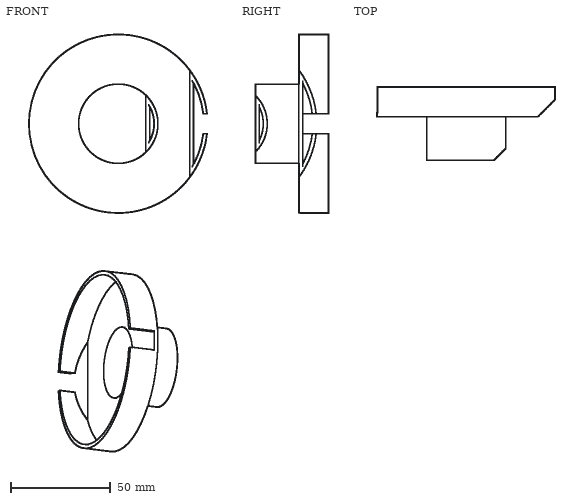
import cadquery as cq

flange_diameter = 90.0
flange_thickness = 15.0
boss_diameter = 40.0
boss_length = 22.0
wall = 2.0
slot_width = 10.0
flange_bevel = 9.0
boss_bevel = 6.0

flange_front = 0.0
flange_back = flange_front + flange_thickness
boss_front = flange_front - boss_length


def cylinder(diameter, y_start, y_end):
    """Solid cylinder on the Y axis between two Y places."""
    profile = cq.Workplane("XZ", origin=(0, y_start, 0)).circle(diameter / 2)
    return profile.extrude(y_start - y_end)


def edge_bevel(diameter, y_front, leg):
    """Wedge that cuts a flat 45 degree bevel across the front +X edge of a cylinder."""
    x_edge = diameter / 2
    corners = [(x_edge - leg, y_front), (x_edge, y_front), (x_edge, y_front + leg)]
    return cq.Workplane("XY").polyline(corners).close().extrude(diameter / 2, both=True)


body = cylinder(flange_diameter, flange_front, flange_back)
body = body.union(cylinder(boss_diameter, boss_front, flange_back))

flange_cavity = cylinder(flange_diameter - 2 * wall, flange_front + wall, flange_back)
boss_cavity = cylinder(boss_diameter - 2 * wall, boss_front + wall, flange_back)
body = body.cut(flange_cavity).cut(boss_cavity)

slot_depth = flange_thickness - wall
slot = (
    cq.Workplane("XY")
    .box(flange_diameter, slot_depth, slot_width)
    .translate((0, flange_back - slot_depth / 2, 0))
)
body = body.cut(slot)

body = body.cut(edge_bevel(flange_diameter, flange_front, flange_bevel))
body = body.cut(edge_bevel(boss_diameter, boss_front, boss_bevel))

result = body